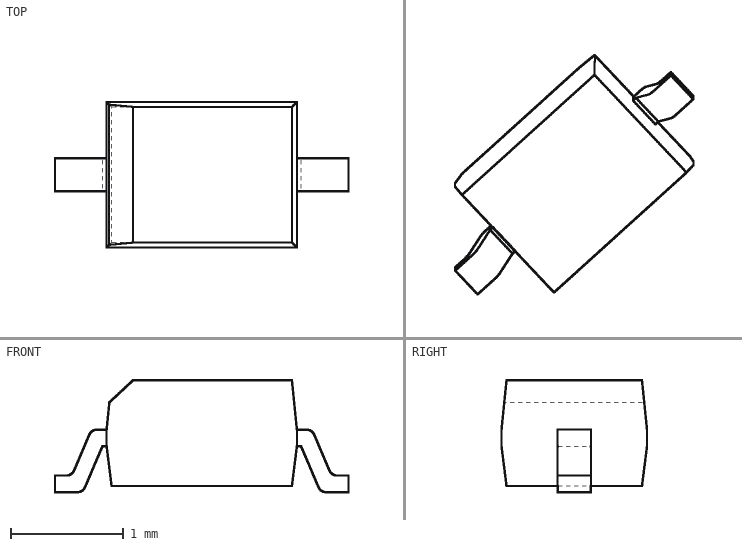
import cadquery as cq
import math


overall_length = 2.62
overall_height = 1.0

body_length = 1.7
body_width = 1.3
body_standoff = 0.055
taper_inset = 0.0445
bevel_height = 0.198
bevel_top_run = 0.192

lead_thickness = 0.15
lead_width = 0.295
lead_underside = 0.41
lead_slope_angle = 67.0
bend_radius = 0.075
knee_distance = 0.985

band_bottom = lead_underside
band_top = lead_underside + lead_thickness


def drafted_half(start_height, depth):
    """Half of the body that narrows away from the band; a negative depth goes down."""
    draft_angle = math.degrees(math.atan(taper_inset / abs(depth)))
    return (
        cq.Workplane("XY")
        .workplane(offset=start_height)
        .rect(body_length, body_width)
        .extrude(depth, taper=draft_angle)
    )


def polarity_bevel():
    """Wedge removed along the upper -X edge to mark the cathode end."""
    wall_x = -body_length / 2
    top_edge_x = wall_x + taper_inset
    bevel_bottom = overall_height - bevel_height
    bevel_bottom_x = wall_x + taper_inset * (bevel_bottom - band_top) / (overall_height - band_top)
    return (
        cq.Workplane("XZ")
        .moveTo(bevel_bottom_x, bevel_bottom)
        .lineTo(top_edge_x + bevel_top_run, overall_height)
        .lineTo(wall_x, overall_height)
        .lineTo(wall_x, bevel_bottom)
        .close()
        .extrude(body_width / 2, both=True)
    )


def make_body():
    band = (
        cq.Workplane("XY")
        .workplane(offset=band_bottom)
        .rect(body_length, body_width)
        .extrude(lead_thickness)
    )
    upper_half = drafted_half(band_top, overall_height - band_top)
    lower_half = drafted_half(band_bottom, body_standoff - band_bottom)
    return band.union(upper_half).union(lower_half).cut(polarity_bevel()).solids()


def make_lead(side):
    """Gull-wing lead butting against the body end; side is -1 or +1 along X."""
    slope_run = lead_underside / math.tan(math.radians(lead_slope_angle))
    mitre = lead_thickness * math.tan(math.radians(lead_slope_angle / 2))
    root_x = body_length / 2
    tip_x = overall_length / 2
    knee_upper = (knee_distance, band_top)
    foot_upper = (knee_distance + slope_run, lead_thickness)
    knee_under = (knee_distance - mitre, lead_underside)
    foot_under = (knee_distance + slope_run - mitre, 0)
    outline = [
        (root_x, band_top),
        knee_upper,
        foot_upper,
        (tip_x, lead_thickness),
        (tip_x, 0),
        foot_under,
        knee_under,
        (root_x, lead_underside),
    ]
    lead = (
        cq.Workplane("XZ")
        .polyline([(side * x, z) for x, z in outline])
        .close()
        .extrude(lead_width / 2, both=True)
    )
    for x, z in (knee_upper, foot_upper, foot_under):
        corner = cq.selectors.NearestToPointSelector((side * x, 0, z))
        lead = lead.edges("|Y").edges(corner).fillet(bend_radius)
    return lead.solids()


body = make_body()
leads = [make_lead(side) for side in (-1, 1)]

result = cq.Compound.makeCompound([body.val(), *[lead.val() for lead in leads]])